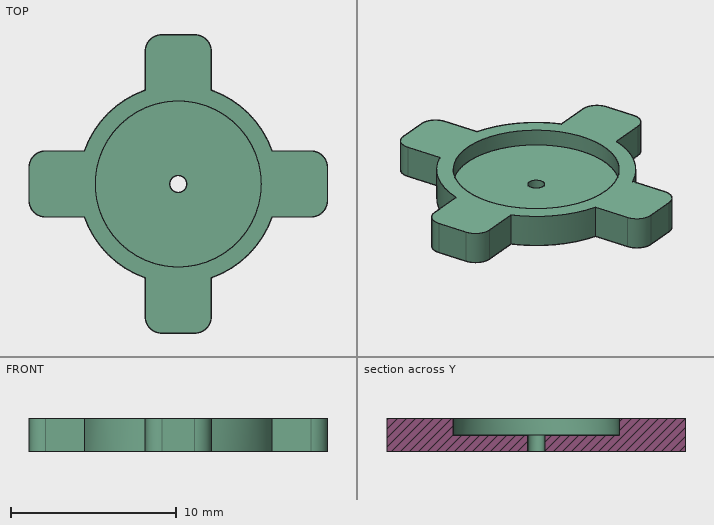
import cadquery as cq

span = 18.0
thickness = 2.0
arm_width = 4.0
corner_radius = 1.0
disc_diameter = 12.0
pocket_diameter = 10.0
pocket_depth = 1.0
hole_diameter = 1.0


def cross_bar(length_x, length_y):
    """Bar through the centre that forms two opposite arms."""
    bar = cq.Workplane("XY").rect(length_x, length_y).extrude(thickness)
    return bar.edges("|Z").fillet(corner_radius)


disc = cq.Workplane("XY").circle(disc_diameter / 2).extrude(thickness)
body = disc.union(cross_bar(span, arm_width)).union(cross_bar(arm_width, span))

pocket = (
    cq.Workplane("XY")
    .workplane(offset=thickness - pocket_depth)
    .circle(pocket_diameter / 2)
    .extrude(pocket_depth)
)

hole = cq.Workplane("XY").circle(hole_diameter / 2).extrude(thickness)

result = body.cut(pocket).cut(hole)